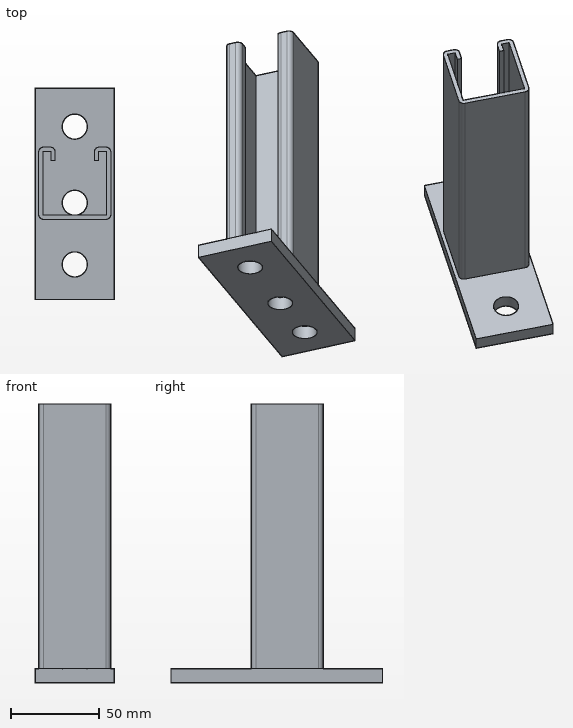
import cadquery as cq

plate_width = 45.0
plate_length = 120.0
total_height = 158.0
plate_thickness = 8.0
hole_diameter = 14.0
hole_positions_y = (-40.0, -5.0, 38.0)

channel_size = 41.0
channel_center_y = 6.0
wall = 2.5
slot_width = 22.1
lip_depth = 7.6
corner_radius = 2.8
channel_height = total_height - plate_thickness


def make_plate():
    """Flat bar with a row of through holes, its underside at Z = 0."""
    return (
        cq.Workplane("XY")
        .box(plate_width, plate_length, plate_thickness, centered=(True, True, False))
        .faces(">Z")
        .workplane(origin=(0, 0, plate_thickness))
        .pushPoints([(0, y) for y in hole_positions_y])
        .hole(hole_diameter)
    )


def make_channel():
    """C-profile with inward lips and rounded outer bends."""
    half = channel_size / 2
    inside = half - wall
    slot_edge = slot_width / 2
    lip_inside = slot_edge + wall
    lip_end = half - lip_depth
    right_half = [
        (half, -half),
        (half, half),
        (slot_edge, half),
        (slot_edge, lip_end),
        (lip_inside, lip_end),
        (lip_inside, inside),
        (inside, inside),
        (inside, -inside),
    ]
    left_half = [(-x, y) for x, y in reversed(right_half)]
    channel = cq.Workplane("XY").polyline(right_half + left_half).close().extrude(channel_height)

    bends = [(side * x, y) for side in (-1, 1) for x, y in right_half[:3]]
    for x, y in bends:
        nearest_edge = cq.selectors.NearestToPointSelector((x, y, channel_height / 2))
        channel = channel.edges("|Z").edges(nearest_edge).fillet(corner_radius)
    return channel.translate((0, channel_center_y, plate_thickness))


plate = make_plate()
channel = make_channel()
result = cq.Compound.makeCompound([plate.val(), channel.val()])